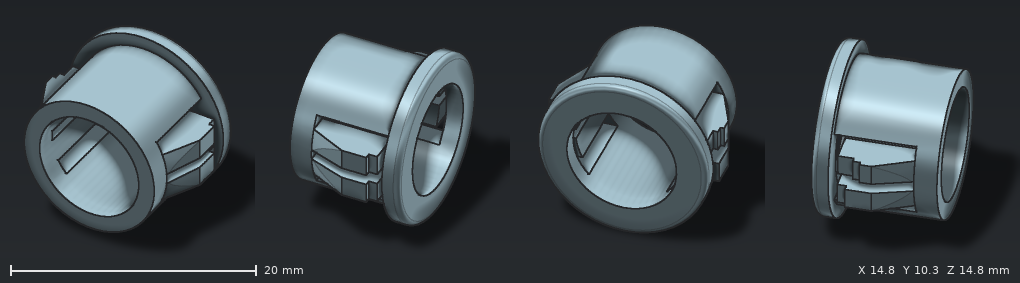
import cadquery as cq
import math

flange_radius = 7.38
flange_thickness = 1.5
flange_rounding = 0.5
sleeve_radius = 6.25
sleeve_length = 8.85
bore_radius = 4.75

window_length = 6.91
window_width = 6.7
arm_inner_z = 0.47
arm_outer_z = 2.29
arm_end_gap = 0.65
taper_start = 3.63

plain_steps = [(0.5, 1.4)]
stair_steps = [(0.72, 1.99), (0.31, 2.61)]


def cylinder(radius, y_start, y_end):
    """Solid cylinder about Y, extending from y_start down to y_end."""
    return cq.Workplane("XZ", origin=(0, y_start, 0)).circle(radius).extrude(y_start - y_end)


def make_bushing():
    flange = cylinder(flange_radius, flange_thickness, 0).faces(">Y").edges().fillet(flange_rounding)
    sleeve = cylinder(sleeve_radius, 0, -sleeve_length)
    window = cq.Workplane("XY").box(
        2 * flange_radius, window_length, window_width
    ).translate((0, -window_length / 2, 0))
    return flange.union(sleeve.cut(window))


def make_arm_envelope():
    """Round envelope that blends the outer arm corners into the sleeve."""
    corner_radius = math.hypot(flange_radius, arm_outer_z)
    return (
        cq.Workplane("XY")
        .moveTo(0, 0)
        .lineTo(corner_radius, 0)
        .lineTo(corner_radius, -taper_start)
        .lineTo(sleeve_radius, -window_length)
        .lineTo(0, -window_length)
        .close()
        .revolve(360, (0, 0, 0), (0, 1, 0))
    )


def make_arm(x_side, z_side, steps):
    """One snap arm; x_side and z_side are +1 or -1."""
    points = [(0, -arm_end_gap)]
    y = -arm_end_gap
    for depth, distance in steps:
        x = flange_radius - depth
        points.append((x, y))
        y = -distance
        points.append((x, y))
    points += [
        (flange_radius, y),
        (flange_radius, -taper_start),
        (sleeve_radius, -window_length),
        (0, -window_length),
    ]
    profile = [(x_side * px, py) for px, py in points]
    arm = (
        cq.Workplane("XY", origin=(0, 0, z_side * arm_inner_z))
        .polyline(profile)
        .close()
        .extrude(z_side * (arm_outer_z - arm_inner_z))
    )
    return arm.intersect(make_arm_envelope())


result = make_bushing()
for x_side in (-1, 1):
    for z_side in (-1, 1):
        is_stair_arm = x_side == -1 and z_side == 1
        steps = stair_steps if is_stair_arm else plain_steps
        result = result.union(make_arm(x_side, z_side, steps))

result = result.cut(cylinder(bore_radius, flange_thickness, -sleeve_length))